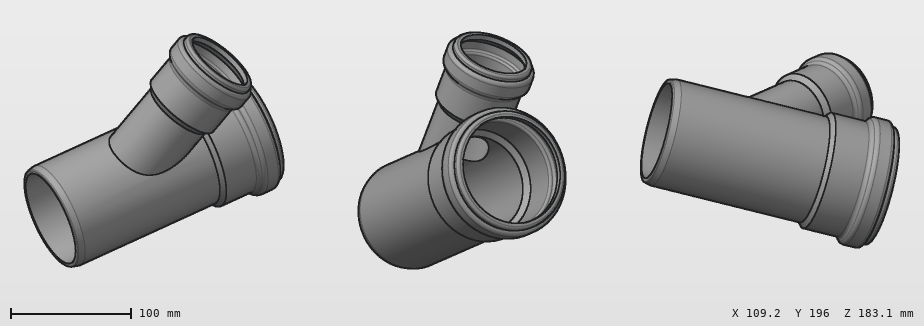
import cadquery as cq
import math

RUN_DIAMETER = 91.0
RUN_BORE = 81.3
RUN_LENGTH = 196.0
SPIGOT_REACH = 57.6
SPIGOT_TAPER_LENGTH = 6.3
SPIGOT_TIP_DIAMETER = 87.8
SPIGOT_TIP_ROUND = 1.0
SHOULDER_INSET = 1.0
GROOVE_INSET = 1.0

BRANCH_DIAMETER = 58.5
BRANCH_BORE = 49.4
BRANCH_REACH = 149.0
BRANCH_ANGLE = 45.0

RUN_SOCKET = {
    "outer": 99.0, "bore": 90.7, "lip_bore": 90.4, "bead": 109.2, "lip": 101.0,
    "lip_round": 2.7, "lip_end": 5.5, "bead_start": 9.0, "bead_end": 19.0, "neck": 27.2,
    "shoulder": 55.9, "shoulder_end": 59.8, "groove_start": 11.4,
}
BRANCH_SOCKET = {
    "outer": 67.0, "bore": 59.2, "lip_bore": 57.6, "bead": 75.9, "lip": 68.2,
    "lip_round": 2.4, "lip_end": 4.9, "bead_start": 8.2, "bead_end": 17.8, "neck": 25.3,
    "shoulder": 51.0, "shoulder_end": 56.0, "groove_start": 10.0,
}

DIAGONAL = math.sqrt(0.5)


def pipe_outside(socket, diameter, reach, tail, foot):
    """Solid outer form around Z, from z = tail up to the socket mouth at z = reach.

    foot lists the (radius, z) corners where the pipe begins.
    """
    pipe = diameter / 2
    outer = socket["outer"] / 2
    bead = socket["bead"] / 2
    lip = socket["lip"] / 2
    lip_round = socket["lip_round"]
    z = {name: reach - socket[name] for name in
         ("lip_end", "bead_start", "bead_end", "neck", "shoulder", "shoulder_end")}
    neck_middle = ((outer + bead) / 2, (z["neck"] + z["bead_end"]) / 2)
    return (
        cq.Workplane("XZ")
        .moveTo(0, tail)
        .polyline(foot, includeCurrent=True)
        .lineTo(pipe, z["shoulder_end"])
        .lineTo(outer, z["shoulder"])
        .lineTo(outer, z["neck"])
        .tangentArcPoint(neck_middle, relative=False)
        .tangentArcPoint((bead, z["bead_end"]), relative=False)
        .lineTo(bead, z["bead_start"])
        .tangentArcPoint((lip, z["lip_end"]), relative=False)
        .lineTo(lip, reach - lip_round)
        .threePointArc((lip - lip_round * (1 - DIAGONAL), reach - lip_round * (1 - DIAGONAL)),
                       (lip - lip_round, reach))
        .lineTo(0, reach)
        .close()
        .revolve(360, (0, 0), (0, 1))
    )


def pipe_inside(socket, bore, reach, tail):
    """Bore, wider socket bore and seal groove under the bead, as one solid to remove."""
    pipe = bore / 2
    seat = socket["bore"] / 2
    lip = socket["lip_bore"] / 2
    wall = (socket["outer"] - socket["bore"]) / 2
    groove = socket["bead"] / 2 - wall
    groove_end = reach - socket["bead_end"] + GROOVE_INSET
    neck = reach - socket["neck"] + wall + GROOVE_INSET
    neck_middle = ((seat + groove) / 2, (neck + groove_end) / 2)
    return (
        cq.Workplane("XZ")
        .moveTo(0, tail)
        .lineTo(pipe, tail)
        .lineTo(pipe, reach - socket["shoulder_end"])
        .lineTo(seat, reach - socket["shoulder"] + SHOULDER_INSET)
        .lineTo(seat, neck)
        .tangentArcPoint(neck_middle, relative=False)
        .tangentArcPoint((groove, groove_end), relative=False)
        .lineTo(groove, reach - socket["groove_start"])
        .lineTo(lip, reach - socket["lip_end"])
        .lineTo(lip, reach)
        .lineTo(0, reach)
        .close()
        .revolve(360, (0, 0), (0, 1))
    )


def along_run(body):
    return body.rotate((0, 0, 0), (1, 0, 0), -90)


def along_branch(body):
    return body.rotate((0, 0, 0), (1, 0, 0), BRANCH_ANGLE - 90)


run_reach = RUN_LENGTH - SPIGOT_REACH
spigot = [
    (SPIGOT_TIP_DIAMETER / 2, -SPIGOT_REACH),
    (RUN_DIAMETER / 2, SPIGOT_TAPER_LENGTH - SPIGOT_REACH),
]
run_outside = along_run(pipe_outside(
    RUN_SOCKET, RUN_DIAMETER, run_reach, -SPIGOT_REACH, spigot))
run_outside = run_outside.faces("<Y").edges().fillet(SPIGOT_TIP_ROUND)
run_inside = along_run(pipe_inside(RUN_SOCKET, RUN_BORE, run_reach, -SPIGOT_REACH))

branch_outside = along_branch(pipe_outside(
    BRANCH_SOCKET, BRANCH_DIAMETER, BRANCH_REACH, 0, [(BRANCH_DIAMETER / 2, 0)]))
branch_inside = along_branch(pipe_inside(BRANCH_SOCKET, BRANCH_BORE, BRANCH_REACH, 0))

result = run_outside.union(branch_outside).cut(run_inside).cut(branch_inside)